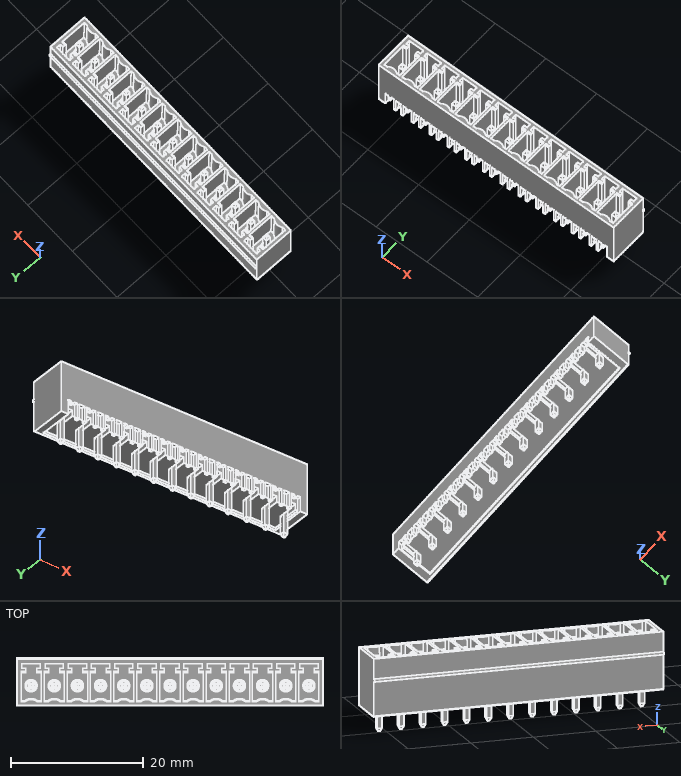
import cadquery as cq

ways = 13
length = 46.3
depth = 7.0
height = 9.15
pin_row_y = 3.0
pin_row_length = 42.0
pitch = pin_row_length / (ways - 1)
first_pin_x = (length - pin_row_length) / 2
pin_xs = [first_pin_x + i * pitch for i in range(ways)]
gap_xs = [x + pitch / 2 for x in pin_xs[:-1]]

back_rib_bulge = 0.3
back_rib_half_height = 0.25
back_rib_z = 5.8
back_edge_chamfer = 0.2

cavity_floor_z = 2.8
cavity_width = 3.05
cavity_front_y = 0.6
front_wall_draft = 0.15
cavity_back_y = 6.35
latch_pocket_width = 2.8
latch_gap = 1.65
latch_front_y = 5.0
latch_back_y = 5.65
latch_chamfer = 0.2
key_width = 1.85
key_bulge = 0.32

recess_height = 2.65
recess_depth = 0.65
pin_recess_width = 1.65
gap_recess_width = 0.95
tab_drop = 0.3
tab_top_width = 0.7
tab_bottom_width = 0.35
groove_height = 1.55

underside_height = 0.45
back_rail_thickness = 0.7

pin_width = 0.8
pin_bottom_z = -3.43
pin_top_z = height - 1.35
tip_height = 0.55
tip_width = 0.3
collar_base_diameter = 1.8
collar_top_diameter = 1.35
collar_height = 0.35


def block(x_center, width, y0, y1, z0, z1):
    """Box centred on x_center, spanning y0..y1 and z0..z1."""
    return (
        cq.Workplane("XY")
        .box(width, y1 - y0, z1 - z0, centered=(True, False, False))
        .translate((x_center, y0, z0))
    )


def housing():
    """Outer block with the broken lower back edge and the rounded back rib."""
    outline = (
        cq.Workplane("YZ")
        .moveTo(0, 0)
        .lineTo(depth - back_edge_chamfer, 0)
        .lineTo(depth, back_edge_chamfer)
        .lineTo(depth, back_rib_z - back_rib_half_height)
        .threePointArc(
            (depth + back_rib_bulge, back_rib_z),
            (depth, back_rib_z + back_rib_half_height),
        )
        .lineTo(depth, height)
        .lineTo(0, height)
        .close()
    )
    return outline.extrude(length)


def cavity_outline(x, z, front_y):
    """Closed wire of the cavity in front of the latch tabs, with the key in its front wall."""
    half = cavity_width / 2
    half_key = key_width / 2
    return (
        cq.Workplane("XY", origin=(x, 0, z))
        .moveTo(-half, front_y)
        .lineTo(-half_key, front_y)
        .threePointArc((0, front_y + key_bulge), (half_key, front_y))
        .lineTo(half, front_y)
        .lineTo(half, latch_front_y)
        .lineTo(-half, latch_front_y)
        .close()
        .val()
    )


def cavity(x):
    """Plug cavity with a drafted front wall, a throat between two latch tabs and a back pocket."""
    floor_outline = cavity_outline(x, cavity_floor_z, cavity_front_y + front_wall_draft)
    top_outline = cavity_outline(x, height, cavity_front_y)
    main = cq.Workplane(cq.Solid.makeLoft([floor_outline, top_outline], True))
    throat = block(x, latch_gap, latch_front_y, latch_back_y, cavity_floor_z, height)
    pocket = block(x, latch_pocket_width, latch_back_y, cavity_back_y, cavity_floor_z, height)
    lead_in = (
        cq.Workplane("YZ", origin=(x - cavity_width / 2, 0, 0))
        .moveTo(latch_front_y, height - latch_chamfer)
        .lineTo(latch_front_y + latch_chamfer, height)
        .lineTo(latch_front_y, height)
        .close()
        .extrude(cavity_width)
    )
    return main.union(throat).union(pocket).union(lead_in)


def pin_recess(x):
    """Front recess below a cavity, with its hanging tab and the groove for the pin."""
    tab = (
        cq.Workplane("XZ", origin=(x, 0, 0))
        .moveTo(-tab_top_width / 2, recess_height)
        .lineTo(-tab_bottom_width / 2, recess_height - tab_drop)
        .lineTo(tab_bottom_width / 2, recess_height - tab_drop)
        .lineTo(tab_top_width / 2, recess_height)
        .close()
        .extrude(-recess_depth)
    )
    opening = block(x, pin_recess_width, 0, recess_depth, 0, recess_height)
    groove = block(x, pin_width, 0, pin_row_y, 0, groove_height)
    return opening.cut(tab).union(groove)


def gap_recess(x):
    """Narrow front recess between two pins."""
    return block(x, gap_recess_width, 0, recess_depth, 0, recess_height)


def pin(x):
    """Square pin with tapered ends and a conical collar on the cavity floor."""
    shaft_bottom = pin_bottom_z + tip_height
    shaft_top = pin_top_z - tip_height
    y0 = pin_row_y - pin_width / 2
    body = block(x, pin_width, y0, y0 + pin_width, shaft_bottom, shaft_top)
    for z, direction in ((shaft_bottom, -1), (shaft_top, 1)):
        tip = (
            cq.Workplane("XY", origin=(x, pin_row_y, z))
            .rect(pin_width, pin_width)
            .workplane(offset=direction * tip_height)
            .rect(tip_width, tip_width)
            .loft()
        )
        body = body.union(tip)
    collar = (
        cq.Workplane("XY", origin=(x, pin_row_y, cavity_floor_z))
        .circle(collar_base_diameter / 2)
        .workplane(offset=collar_height)
        .circle(collar_top_diameter / 2)
        .loft()
    )
    return body.union(collar)


underside_width = pin_row_length + pin_recess_width
underside = block(
    length / 2, underside_width, recess_depth, depth - back_rail_thickness, 0, underside_height
)

result = housing().cut(underside)
for x in pin_xs:
    result = result.cut(cavity(x)).cut(pin_recess(x)).union(pin(x))
for x in gap_xs:
    result = result.cut(gap_recess(x))
result = result.translate((-length / 2, -depth / 2, 0))